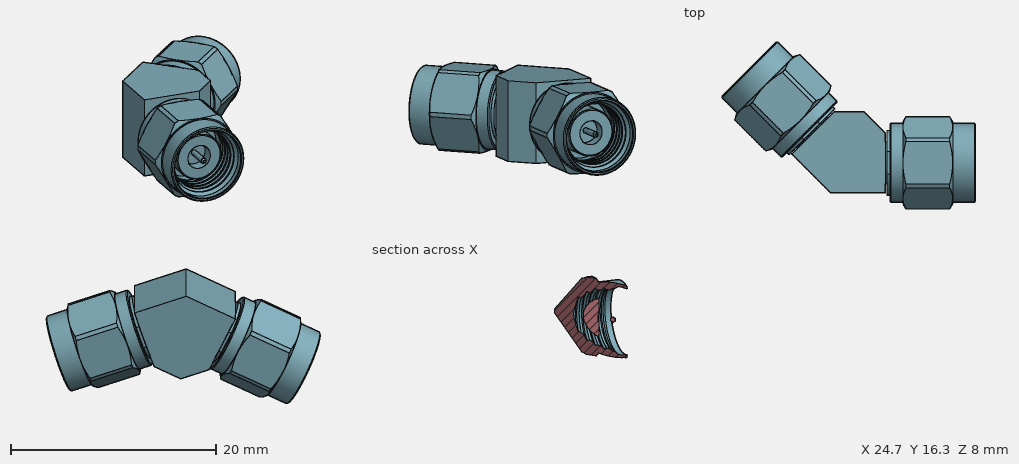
import cadquery as cq
import math


block_height = 8.0
arm_width = 7.9
arm_length = 5.34
second_arm_angle = 135
diagonal = math.sqrt(2)
end_face_width = arm_width * diagonal - arm_length

nut_start = 0.45
nut_end = 8.8
nut_radius = 3.85
nut_edge_chamfer = 0.109
hex_start = 1.7
hex_end = 6.57
hex_across_flats = 8.0
hex_across_corners = 9.0
hex_chamfer_length = 0.3
hex_chamfer_angle = 30

mouth_radius = 3.5
mouth_chamfer = 0.07
mouth_depth = 0.67
thread_start = 1.33
thread_crest_radius = 3.01
thread_root_radius = 3.2
thread_pitch = 0.65
thread_crest_width = 0.25
groove_count = 4
cavity_depth = 4.95

groove_width = thread_pitch - thread_crest_width
mouth_cone_end = mouth_depth + mouth_radius - thread_root_radius

neck_radius = 2.05
flange_start = 0.15
flange_radius = 3.16
flange_across_flats = 5.93
ferrule_radius = 2.32
ferrule_chamfer = 0.1
ferrule_recess = 2.15
socket_radius = 1.19
socket_depth = 1.28
pin_radius = 0.27
pin_recess = 0.9
pin_chamfer = 0.15

ferrule_end = nut_end - ferrule_recess
pin_end = nut_end - pin_recess


def cylinder(start, end, radius):
    """Cylinder along the X axis."""
    return cq.Workplane("YZ").workplane(offset=start).circle(radius).extrude(end - start)


def revolved(profile):
    """Turn a closed (position, radius) outline around the X axis."""
    return cq.Workplane("XY").polyline(profile).close().revolve(360, (0, 0, 0), (1, 0, 0))


def place_on_first_arm(shape):
    """Move a shape from the X axis to the end face that looks along +X."""
    return shape.translate((arm_length, end_face_width / 2, 0))


def place_on_second_arm(shape):
    """Turn and move a shape from the X axis to the end face of the second arm."""
    turned = shape.rotate((0, 0, 0), (0, 0, 1), second_arm_angle)
    angle = math.radians(second_arm_angle)
    along = (math.cos(angle), math.sin(angle))
    inward = (along[1], -along[0])
    x = arm_length * along[0] + end_face_width / 2 * inward[0]
    y = arm_length * along[1] + end_face_width / 2 * inward[1]
    return turned.translate((x, y, 0))


placements = [place_on_first_arm, place_on_second_arm]


def make_block():
    """Overlap of the two equally wide arms, cut square at each end."""
    outline = [
        (0, 0),
        (arm_length, 0),
        (arm_length, end_face_width),
        (arm_width * diagonal - arm_width, arm_width),
        ((end_face_width - arm_length) / diagonal, arm_width),
        (-arm_length / diagonal, arm_length / diagonal),
    ]
    base = cq.Workplane("XY").workplane(offset=-block_height / 2)
    return base.polyline(outline).close().extrude(block_height)


def make_flange():
    """Round flange with a flat on its top and bottom."""
    disc = cylinder(flange_start, nut_start, flange_radius)
    flats = cq.Workplane("XY").box(4 * nut_start, 4 * flange_radius, flange_across_flats)
    return disc.intersect(flats)


def make_plug():
    """Neck, flange, ferrule and centre pin of one end."""
    ferrule = cylinder(nut_start, ferrule_end, ferrule_radius)
    ferrule = ferrule.faces(">X").edges().chamfer(ferrule_chamfer)
    socket_floor = ferrule_end - socket_depth
    ferrule = ferrule.cut(cylinder(socket_floor, ferrule_end, socket_radius))
    pin = cylinder(socket_floor, pin_end, pin_radius).faces(">X").chamfer(pin_chamfer)
    neck = cylinder(0, flange_start, neck_radius)
    return neck.union(make_flange()).union(ferrule).union(pin)


def make_elbow():
    elbow = make_block()
    plug = make_plug()
    for place in placements:
        elbow = elbow.union(place(plug))
    return elbow


def make_hexagon():
    """Hexagon with flats facing up and down, blunted corners and bevelled ends."""
    corners_per_flats = 1 / math.cos(math.pi / 6)
    sharp_corners = hex_across_flats * corners_per_flats
    blunt_diameter = hex_across_corners * corners_per_flats
    hex_length = hex_end - hex_start
    plane = cq.Workplane("YZ").workplane(offset=hex_start)
    hexagon = plane.polygon(6, sharp_corners).extrude(hex_length)
    blunt = plane.transformed(rotate=(0, 0, 30)).polygon(6, blunt_diameter).extrude(hex_length)
    bevel_outer = hex_across_corners / 2
    bevel_inner = bevel_outer - hex_chamfer_length / math.tan(math.radians(hex_chamfer_angle))
    bevel = revolved([
        (hex_start, 0),
        (hex_start, bevel_inner),
        (hex_start + hex_chamfer_length, bevel_outer),
        (hex_start + hex_chamfer_length, sharp_corners),
        (hex_end - hex_chamfer_length, sharp_corners),
        (hex_end - hex_chamfer_length, bevel_outer),
        (hex_end, bevel_inner),
        (hex_end, 0),
    ])
    return hexagon.intersect(blunt).intersect(bevel)


def make_thread_groove(start):
    """V-shaped ring groove that opens at the given depth."""
    near = nut_end - start
    return revolved([
        (near, 0),
        (near, thread_crest_radius),
        (near - groove_width / 2, thread_root_radius),
        (near - groove_width, thread_crest_radius),
        (near - groove_width, 0),
    ])


def make_cavity():
    """Tapered mouth, threaded bore and clearance hole of the nut."""
    floor = nut_end - cavity_depth
    cavity = revolved([
        (nut_start, 0),
        (nut_start, ferrule_radius),
        (floor, ferrule_radius),
        (floor, thread_crest_radius),
        (nut_end - thread_start, thread_crest_radius),
        (nut_end - thread_start + groove_width / 2, thread_root_radius),
        (nut_end - mouth_cone_end, thread_root_radius),
        (nut_end - mouth_depth, mouth_radius),
        (nut_end - mouth_chamfer, mouth_radius),
        (nut_end, mouth_radius + mouth_chamfer),
        (nut_end, 0),
    ])
    for turn in range(groove_count):
        groove_start = thread_start + thread_crest_width + turn * thread_pitch
        cavity = cavity.union(make_thread_groove(groove_start))
    return cavity


def make_nut():
    barrel = cylinder(nut_start, nut_end, nut_radius).faces("<X or >X").chamfer(nut_edge_chamfer)
    return barrel.union(make_hexagon()).cut(make_cavity())


elbow = make_elbow()
nuts = [place(make_nut()) for place in placements]

result = cq.Compound.makeCompound([elbow.val(), *[nut.val() for nut in nuts]])